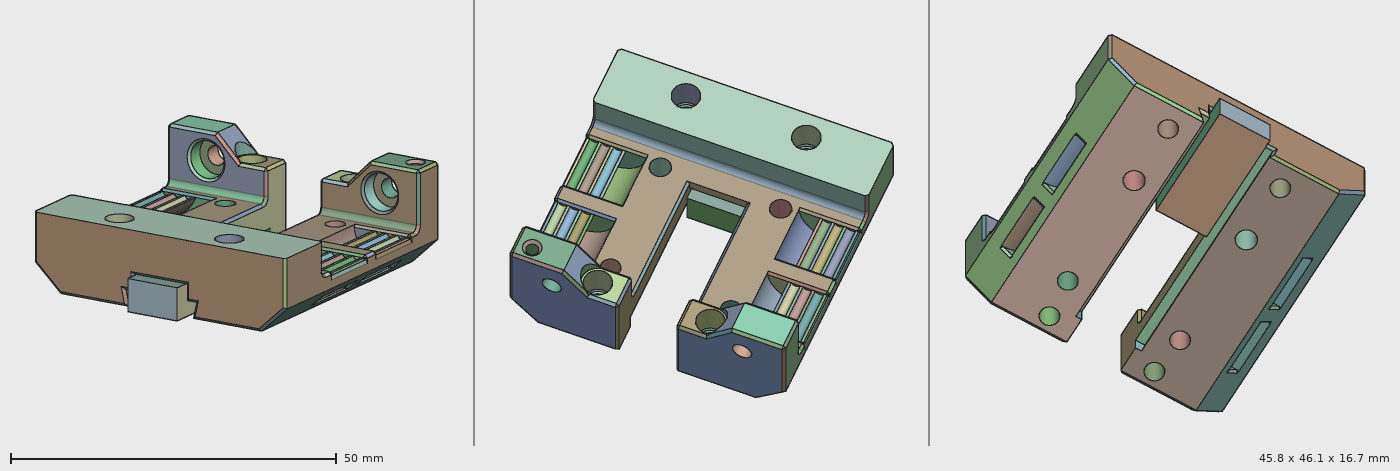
import cadquery as cq
import math

WIDTH = 45.8
HEIGHT = 16.72
LENGTH = 44.0
HALF = WIDTH / 2
BEVEL_RUN = 4.65
BEVEL_HEIGHT = 4.35
EDGE_CHAMFER = 0.45
TOLERANCE = 0.005

BRIDGE_DEPTH = 10.65
BRIDGE_HEIGHT = 12.5
ARM_HEIGHT = 7.0
POST_DEPTH = 5.95
POST_FRONT = LENGTH - POST_DEPTH
VALLEY_RADIUS = 0.95
POST_TOP_INNER = 13.95
POST_SLOPE = HEIGHT - BRIDGE_HEIGHT
SHELF_INNER = POST_TOP_INNER - POST_SLOPE

GAP_WIDTH = 9.6
GAP_FRONT = 15.25
SLOT_HEIGHT = 5.35

DOVETAIL_HEIGHT = 2.65
DOVETAIL_TOP_HALF = 6.45
DOVETAIL_BOTTOM_HALF = 5.85
DOVETAIL_END = 39.05

SCREW_X = 10.0
BRIDGE_SCREW_Y = 4.2
ARM_FRONT_SCREW_Y = 14.45
ARM_REAR_SCREW_Y = 34.45
POST_SCREW_X = 9.35
POST_SCREW_Y = 41.1
SCREW_DIA = 3.2
WIDE_SCREW_DIA = 3.4
HEAD_DIA = 4.5
HEAD_SEAT = ARM_HEIGHT
FLOOR_CHAMFER = 0.25
POST_CLEARANCE_DIA = 5.25

BORE_X = 15.8
BORE_Z = 12.02
BORE_DIA = 6.1
BORE_DEPTH = 3.0
BORE_CHAMFER = 0.4
BORE_THROUGH_DIA = 3.2

SET_SCREW_X = 20.05
SET_SCREW_Y = 41.6
SET_SCREW_DIA = 2.0
SET_SCREW_MOUTH = 3.0
SET_SCREW_DEPTH = 4.6

CLAMP_WIDTH = 9.5
CLAMP_CENTRES = (18.25, 30.9)
CLAMP_CHAMFER = 0.4
CLAMP_INNER = 12.62
CURVE_RADIUS = 6.0
CHANNEL_FLOOR = 1.3
LAND_Z = 6.65
NOSE_X = 16.12
NOSE_RADIUS = 6.45
ISLAND_BOTTOM = 2.65
LIP_Z = 5.7
LIP_RUN = 0.25
TOOTH_PITCH = 2.0
TOOTH_WIDTH = 1.5
TOOTH_DIA = 1.6
TOOTH_COUNT = 4
FIRST_TOOTH_X = 17.35

BLOCK_WIDTH = 9.0
BLOCK_LENGTH = 19.2
BLOCK_OVERHANG = 2.07


def box(x0, x1, y0, y1, z0, z1):
    return cq.Workplane("XY").box(x1 - x0, y1 - y0, z1 - z0, centered=False).translate((x0, y0, z0))


def along_y(workplane, y0, y1):
    """Extrude an outline drawn on the XZ plane from y0 to y1."""
    return workplane.extrude(-(y1 - y0)).translate((0, y0, 0))


def both_sides(right):
    return right.union(right.mirror("YZ"))


def vertical_hole(x, y, dia, floor=0.0):
    return cq.Workplane("XY", origin=(x, y, floor)).circle(dia / 2).extrude(HEIGHT - floor)


def screw_head_bore(x, y):
    return vertical_hole(x, y, HEAD_DIA, HEAD_SEAT).faces("<Z").chamfer(FLOOR_CHAMFER)


def body_blank():
    half_outline = [
        (0, 0), (HALF - BEVEL_RUN, 0), (HALF, BEVEL_HEIGHT), (HALF, HEIGHT),
        (POST_TOP_INNER, HEIGHT), (SHELF_INNER, BRIDGE_HEIGHT), (0, BRIDGE_HEIGHT),
    ]
    half = along_y(cq.Workplane("XZ").polyline(half_outline).close(), 0, LENGTH)
    blank = both_sides(half).clean()

    valley = box(-HALF, HALF, BRIDGE_DEPTH, POST_FRONT, ARM_HEIGHT, HEIGHT)
    valley = valley.edges("|X and <Z").fillet(VALLEY_RADIUS)
    above_bridge = box(-HALF, HALF, 0, POST_FRONT, BRIDGE_HEIGHT, HEIGHT)

    gap_half = GAP_WIDTH / 2
    gap = box(-gap_half, gap_half, GAP_FRONT, LENGTH, 0, HEIGHT)
    slot = box(-gap_half, gap_half, 0, GAP_FRONT, 0, SLOT_HEIGHT)
    dovetail_outline = [
        (DOVETAIL_TOP_HALF, DOVETAIL_HEIGHT), (-DOVETAIL_TOP_HALF, DOVETAIL_HEIGHT),
        (-DOVETAIL_BOTTOM_HALF, 0), (DOVETAIL_BOTTOM_HALF, 0),
    ]
    dovetail = along_y(cq.Workplane("XZ").polyline(dovetail_outline).close(), 0, DOVETAIL_END)
    for void in (valley, above_bridge, gap, slot, dovetail):
        blank = blank.cut(void)
    return blank


def is_chamfered(edge):
    """True for the end-face outlines, the front outlines of the posts and the upper edges above the arms."""
    box_of_edge = edge.BoundingBox()
    centre = edge.Center()
    if box_of_edge.ymax - box_of_edge.ymin < TOLERANCE:
        if centre.y < TOLERANCE:
            return box_of_edge.zmin < BRIDGE_HEIGHT - TOLERANCE
        if centre.y > LENGTH - TOLERANCE:
            return True
        if abs(centre.y - POST_FRONT) < TOLERANCE:
            return box_of_edge.zmax > ARM_HEIGHT + VALLEY_RADIUS + TOLERANCE
    faces_sideways = box_of_edge.xmax - box_of_edge.xmin < TOLERANCE
    on_side = faces_sideways and abs(abs(centre.x) - HALF) < TOLERANCE
    on_gap = faces_sideways and abs(abs(centre.x) - GAP_WIDTH / 2) < TOLERANCE
    above_arm = box_of_edge.zmin > ARM_HEIGHT - TOLERANCE
    behind_bridge = box_of_edge.ymax > BRIDGE_DEPTH - TOLERANCE
    on_bridge_top = box_of_edge.ymax < BRIDGE_DEPTH + TOLERANCE and box_of_edge.zmin > BRIDGE_HEIGHT - TOLERANCE
    return (on_side or on_gap) and above_arm and behind_bridge and not on_bridge_top


def chamfer_edges(body):
    chosen = [edge for edge in body.edges().vals() if is_chamfered(edge)]
    return body.newObject(chosen).chamfer(EDGE_CHAMFER)


def screw_holes():
    return [
        vertical_hole(SCREW_X, BRIDGE_SCREW_Y, SCREW_DIA),
        screw_head_bore(SCREW_X, BRIDGE_SCREW_Y),
        vertical_hole(SCREW_X, ARM_FRONT_SCREW_Y, WIDE_SCREW_DIA),
        vertical_hole(SCREW_X, ARM_REAR_SCREW_Y, SCREW_DIA),
        vertical_hole(POST_SCREW_X, POST_SCREW_Y, SCREW_DIA),
        screw_head_bore(POST_SCREW_X, POST_SCREW_Y),
        vertical_hole(POST_SCREW_X, POST_SCREW_Y, POST_CLEARANCE_DIA, BRIDGE_HEIGHT),
    ]


def post_bore():
    through_r = BORE_THROUGH_DIA / 2
    bore_r = BORE_DIA / 2
    bore_floor = POST_FRONT + BORE_DEPTH
    profile = [
        (0, LENGTH), (through_r, LENGTH), (through_r, bore_floor), (bore_r, bore_floor),
        (bore_r, POST_FRONT + BORE_CHAMFER), (bore_r + BORE_CHAMFER, POST_FRONT), (0, POST_FRONT),
    ]
    bore = cq.Workplane("XY").polyline(profile).close().revolve(360, (0, 0, 0), (0, 1, 0))
    return bore.translate((BORE_X, 0, BORE_Z))


def set_screw_hole():
    mouth_r = SET_SCREW_MOUTH / 2
    hole_r = SET_SCREW_DIA / 2
    profile = [
        (0, 0), (mouth_r, 0), (hole_r, hole_r - mouth_r), (hole_r, FLOOR_CHAMFER - SET_SCREW_DEPTH),
        (hole_r - FLOOR_CHAMFER, -SET_SCREW_DEPTH), (0, -SET_SCREW_DEPTH),
    ]
    hole = cq.Workplane("XZ").polyline(profile).close().revolve(360, (0, 0, 0), (0, 1, 0))
    return hole.translate((SET_SCREW_X, SET_SCREW_Y, HEIGHT))


def belt_clamp():
    """Belt passage of the right arm: over a toothed island, round its nose and out of the bevel."""
    y0 = -CLAMP_WIDTH / 2
    y1 = CLAMP_WIDTH / 2
    diag = math.sqrt(0.5)

    curve_x = CLAMP_INNER + CURVE_RADIUS
    curve_z = CHANNEL_FLOOR + CURVE_RADIUS
    passage = (
        cq.Workplane("XZ").moveTo(CLAMP_INNER, curve_z)
        .threePointArc(
            (curve_x - CURVE_RADIUS * diag, curve_z - CURVE_RADIUS * diag),
            (curve_x, CHANNEL_FLOOR),
        )
        .lineTo(HALF, CHANNEL_FLOOR)
        .lineTo(HALF, curve_z)
        .close()
    )

    nose_z = ISLAND_BOTTOM + NOSE_RADIUS
    nose_centre_x = NOSE_X + math.sqrt(NOSE_RADIUS**2 - (nose_z - LAND_Z) ** 2)
    island = (
        cq.Workplane("XZ").moveTo(NOSE_X, LAND_Z)
        .threePointArc(
            (nose_centre_x - NOSE_RADIUS * diag, nose_z - NOSE_RADIUS * diag),
            (nose_centre_x, ISLAND_BOTTOM),
        )
        .lineTo(HALF, ISLAND_BOTTOM)
        .lineTo(HALF, LAND_Z)
        .close()
    )
    island = along_y(island, y0, y1)
    tooth_z = LAND_Z + math.sqrt((TOOTH_DIA / 2) ** 2 - (TOOTH_WIDTH / 2) ** 2)
    for i in range(TOOTH_COUNT):
        groove = cq.Workplane("XZ").center(FIRST_TOOTH_X + i * TOOTH_PITCH, tooth_z).circle(TOOTH_DIA / 2)
        island = island.cut(along_y(groove, y0, y1))
    return along_y(passage, y0, y1).cut(island)


def end_flares(start, end):
    """Chamfer both ends of a belt opening along one straight stretch of the arm's outer outline."""
    (x0, z0), (x1, z1) = start, end
    stretch = cq.Plane(origin=(x0, 0, z0), xDir=(0, 1, 0), normal=(x1 - x0, 0, z1 - z0))
    flares = cq.Workplane(stretch)
    for side in (-1, 1):
        corner = side * CLAMP_WIDTH / 2
        flares = flares.polyline([
            (corner, 0), (corner + side * CLAMP_CHAMFER, 0), (corner, CLAMP_CHAMFER),
        ]).close()
    return flares.extrude(math.dist(start, end))


def bevel_point(z):
    return (HALF - BEVEL_RUN * (1 - z / BEVEL_HEIGHT), z)


def upper_mouth():
    """Chamfers around the opening in the arm's top and outer side."""
    flares = end_flares((HALF, LIP_Z), (HALF, ARM_HEIGHT - EDGE_CHAMFER))
    flares = flares.union(end_flares((HALF, ARM_HEIGHT - EDGE_CHAMFER), (HALF - EDGE_CHAMFER, ARM_HEIGHT)))
    flares = flares.union(end_flares((HALF - EDGE_CHAMFER, ARM_HEIGHT), (CLAMP_INNER, ARM_HEIGHT)))
    below_lip = cq.Workplane("XZ").polyline([
        (HALF, LIP_Z), (HALF - LIP_RUN, LAND_Z),
        (HALF - CLAMP_CHAMFER, LAND_Z), (HALF - CLAMP_CHAMFER, LIP_Z),
    ]).close()
    reach = CLAMP_WIDTH / 2 + CLAMP_CHAMFER
    flares = flares.cut(along_y(below_lip, -reach, reach))
    lip = cq.Workplane("XZ").polyline([(HALF, LIP_Z), (HALF, LAND_Z), (HALF - LIP_RUN, LAND_Z)]).close()
    return flares.union(along_y(lip, -CLAMP_WIDTH / 2, CLAMP_WIDTH / 2))


def lower_mouth():
    """Chamfers around the opening in the bevel, along its ends and its lower edge."""
    floor_x = bevel_point(CHANNEL_FLOOR)[0]
    bevel_drop = CLAMP_CHAMFER * BEVEL_HEIGHT / math.hypot(BEVEL_RUN, BEVEL_HEIGHT)
    lip_low = bevel_point(CHANNEL_FLOOR - bevel_drop)
    lip = cq.Workplane("XZ").polyline([
        (floor_x - CLAMP_CHAMFER, CHANNEL_FLOOR), lip_low, (floor_x, CHANNEL_FLOOR),
    ]).close()
    flares = end_flares(lip_low, bevel_point(ISLAND_BOTTOM))
    return flares.union(along_y(lip, -CLAMP_WIDTH / 2, CLAMP_WIDTH / 2))


def housing_body():
    body = chamfer_edges(body_blank())
    for hole in [*screw_holes(), post_bore()]:
        body = body.cut(both_sides(hole))
    body = body.cut(set_screw_hole())
    for clamp_part in (belt_clamp(), upper_mouth(), lower_mouth()):
        clamp_pair = both_sides(clamp_part)
        for y in CLAMP_CENTRES:
            body = body.cut(clamp_pair.translate((0, y, 0)))
    return body


def sliding_block():
    block_half = BLOCK_WIDTH / 2
    return box(-block_half, block_half, -BLOCK_OVERHANG, BLOCK_LENGTH - BLOCK_OVERHANG, 0, SLOT_HEIGHT)


housing = housing_body()
block = sliding_block()
result = cq.Compound.makeCompound([housing.val(), block.val()])